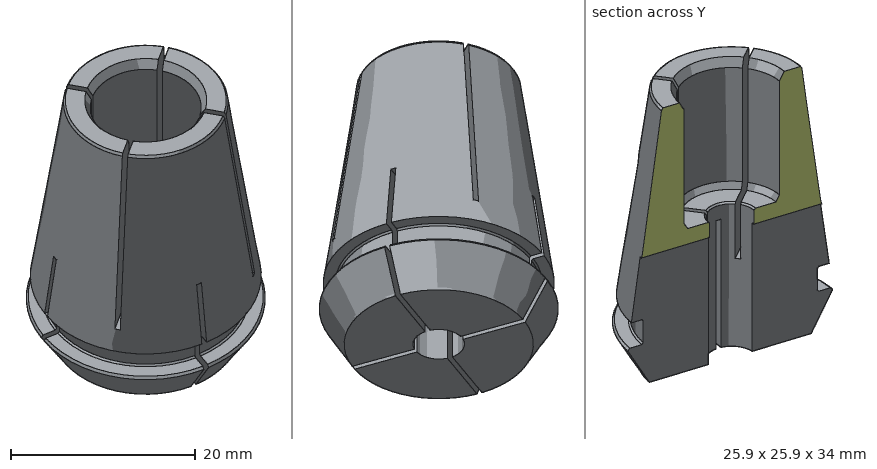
import cadquery as cq
import math


total_height = 34.0
body_bottom_z = 8.1
body_bottom_radius = 12.5
body_half_angle = 8.0
top_chamfer_width = 0.2
top_chamfer_height = 0.3

flange_radius = 12.93
flange_widest_z = 4.7
flange_top_z = 5.0
flange_edge_chamfer = 0.22
nose_half_angle = 30.0
nose_bottom_chamfer_width = 0.1
nose_bottom_chamfer_height = 0.2
groove_radius = 11.0
groove_corner_chamfer = 0.2

bore_radius = 5.56 / 2
bore_chamfer = 0.2
counterbore_radius = 6.0
counterbore_floor_radius = 5.56
counterbore_floor_z = 18.0
mouth_radius = 6.6
bore_cone_half_angle = 30.0

slot_width = 0.6
nose_slot_top_z = 16.0
nose_slot_angles = (0, 90)
taper_slot_floor_z = 11.0
taper_slot_angles = (45, 135)
slot_length = 2.5 * flange_radius


def cone_radius_change(height, half_angle):
    """Change in radius of a cone over the given height."""
    return height * math.tan(math.radians(half_angle))


def cone_height(radius_change, half_angle):
    """Height over which a cone changes its radius by the given amount."""
    return radius_change / math.tan(math.radians(half_angle))


def revolve_profile(points):
    """Revolve a closed (radius, z) outline about the Z axis."""
    return cq.Workplane("XZ").polyline(points).close().revolve(360, (0, 0, 0), (0, 1, 0))


def outer_body():
    nose_bottom_radius = flange_radius - cone_radius_change(
        flange_widest_z - nose_bottom_chamfer_height, nose_half_angle
    )
    body_top_z = total_height - top_chamfer_height
    body_top_radius = body_bottom_radius - cone_radius_change(body_top_z - body_bottom_z, body_half_angle)
    return revolve_profile([
        (0, 0),
        (nose_bottom_radius - nose_bottom_chamfer_width, 0),
        (nose_bottom_radius, nose_bottom_chamfer_height),
        (flange_radius, flange_widest_z),
        (flange_radius - flange_edge_chamfer, flange_top_z),
        (groove_radius + groove_corner_chamfer, flange_top_z),
        (groove_radius, flange_top_z + groove_corner_chamfer),
        (groove_radius, body_bottom_z - groove_corner_chamfer),
        (groove_radius + groove_corner_chamfer, body_bottom_z),
        (body_bottom_radius, body_bottom_z),
        (body_top_radius, body_top_z),
        (body_top_radius - top_chamfer_width, total_height),
        (0, total_height),
    ])


def stepped_bore():
    floor_cone_height = cone_height(counterbore_radius - counterbore_floor_radius, bore_cone_half_angle)
    mouth_cone_height = cone_height(mouth_radius - counterbore_radius, bore_cone_half_angle)
    return revolve_profile([
        (0, 0),
        (bore_radius, 0),
        (bore_radius, counterbore_floor_z - bore_chamfer),
        (bore_radius + bore_chamfer, counterbore_floor_z),
        (counterbore_floor_radius, counterbore_floor_z),
        (counterbore_radius, counterbore_floor_z + floor_cone_height),
        (counterbore_radius, total_height - mouth_cone_height),
        (mouth_radius, total_height),
        (0, total_height),
    ])


def slot(bottom_z, top_z, angle):
    """Slot through the full diameter, turned about the Z axis."""
    return (
        cq.Workplane("XY", origin=(0, 0, bottom_z))
        .rect(slot_length, slot_width)
        .extrude(top_z - bottom_z)
        .rotate((0, 0, 0), (0, 0, 1), angle)
    )


result = outer_body().cut(stepped_bore())

for slot_angle in nose_slot_angles:
    result = result.cut(slot(0, nose_slot_top_z, slot_angle))

for slot_angle in taper_slot_angles:
    result = result.cut(slot(taper_slot_floor_z, total_height, slot_angle))